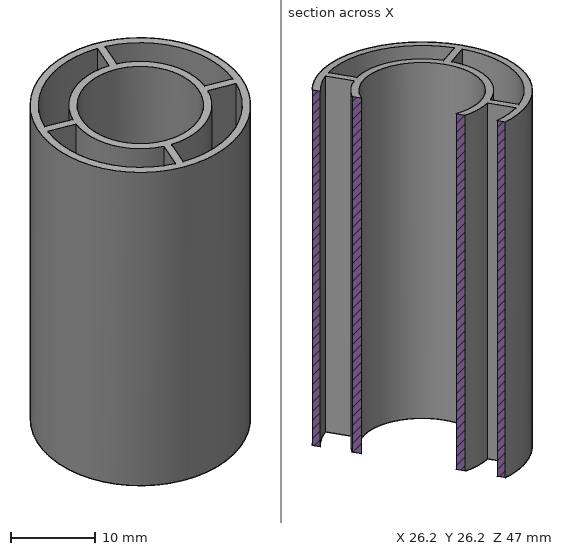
import cadquery as cq

height = 47.0
outer_diameter = 26.2
bore_diameter = 15.0
wall = 1.0

shell_inner_diameter = outer_diameter - 2 * wall
core_outer_diameter = bore_diameter + 2 * wall
rib_start = (bore_diameter + wall) / 2
rib_end = (outer_diameter - wall) / 2
rib_count = 4


def tube(outside, inside):
    """Full-height tube centred on the Z axis."""
    return cq.Workplane("XY").circle(outside / 2).circle(inside / 2).extrude(height)


def rib(angle):
    """Full-height radial web joining the two tubes at the given angle."""
    web = cq.Workplane("XY").box(rib_end - rib_start, wall, height, centered=(False, True, False))
    return web.translate((rib_start, 0, 0)).rotate((0, 0, 0), (0, 0, 1), angle)


result = tube(outer_diameter, shell_inner_diameter).union(tube(core_outer_diameter, bore_diameter))

for index in range(rib_count):
    result = result.union(rib(index * 360 / rib_count))